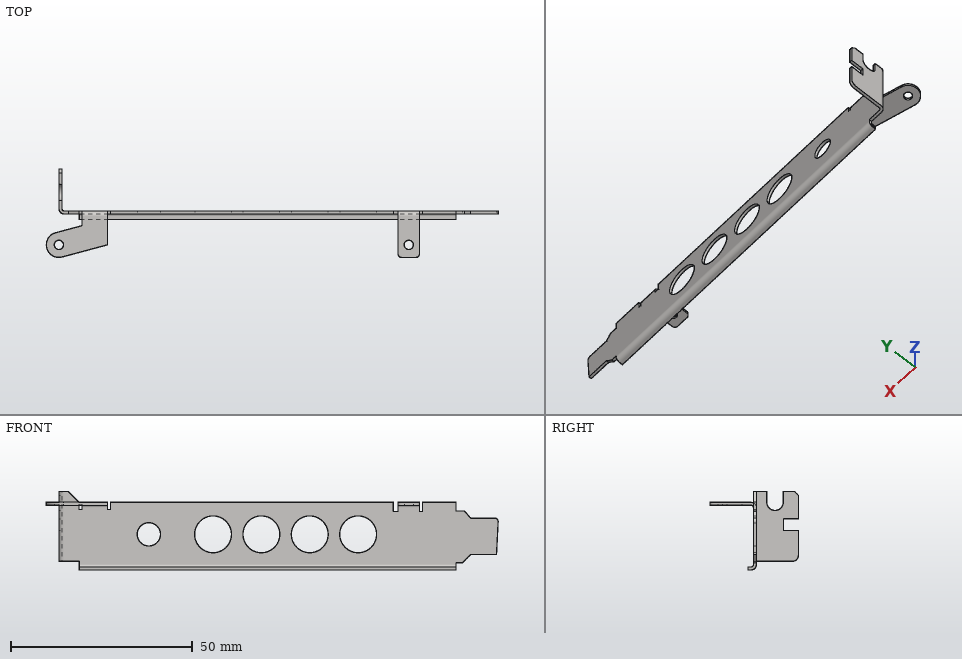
import cadquery as cq
import math


overall_length = 124.4

sheet = 0.9
inner_radius = 0.6
outer_radius = inner_radius + sheet

plate_top = 18.7
plate_bottom_left = 2.4
plate_bottom_right = 2.0
shoulder_x = 109.3
shoulder_z = 16.3
taper_start = 111.6
tail_start = 113.3
tail_top = 14.3
tail_bottom = 4.2
tip_slant = 0.5
tip_radius = 1.0

ear_top = 21.6
ear_flat_end = 2.6
ear_foot = ear_flat_end + ear_top - plate_top

hole_z = 9.8
small_hole_x = 24.8
small_hole_diameter = 6.3
large_hole_x = 42.4
large_hole_diameter = 10.1
large_hole_pitch = 13.3
large_hole_count = 4

flange_depth = 12.5
flange_chamfer = 1.1
flange_corner_radius = 1.7
screw_slot_width = 4.5
screw_slot_y = 6.0
screw_slot_depth = 5.2
side_notch_depth = 4.1
side_notch_bottom = 11.0
side_notch_top = 14.0

lip_start = ear_foot
lip_reach = 1.5

tab_reach = 12.0
tab_hole_diameter = 2.5
lug_radius = 3.5
lug_hole_x = 0.0
tab_hole_y = lug_radius - tab_reach
lug_neck = 1.2
lug_angle = math.radians(15)
lug_tab_start = 6.3
lug_tab_end = 13.4
lug_gap_start = ear_foot
lug_gap_end = 14.2
lug_relief_depth = 2.0
straight_tab_start = 93.3
straight_tab_end = 99.3
straight_tab_radius = 1.0
straight_gap_start = 92.0
straight_gap_end = 100.0
straight_relief_depth = 2.5

tip_slant_angle = math.atan2(tip_slant, tail_top - tail_bottom)
tip_overshoot = tip_radius * (math.tan(math.pi / 4 + tip_slant_angle / 2) - 1)
tip_x = lug_hole_x - lug_radius + overall_length + tip_overshoot


def box(x_range, y_range, z_range):
    """Box between the given limits along each axis."""
    (x0, x1), (y0, y1), (z0, z1) = x_range, y_range, z_range
    return cq.Workplane("XY").box(x1 - x0, y1 - y0, z1 - z0, centered=False).translate((x0, y0, z0))


def bent_strip(plane, corner, first_leg, second_leg):
    """L-shaped sheet section; the signed legs run from its outer corner along the plane axes."""
    u_sign = math.copysign(1, first_leg)
    v_sign = math.copysign(1, second_leg)

    def at(u, v):
        return (corner[0] + u_sign * u, corner[1] + v_sign * v)

    bend = outer_radius
    outer_mid = bend - outer_radius * math.sqrt(0.5)
    inner_mid = bend - inner_radius * math.sqrt(0.5)
    return (
        cq.Workplane(plane)
        .moveTo(*at(abs(first_leg), 0))
        .lineTo(*at(bend, 0))
        .threePointArc(at(outer_mid, outer_mid), at(0, bend))
        .lineTo(*at(0, abs(second_leg)))
        .lineTo(*at(sheet, abs(second_leg)))
        .lineTo(*at(sheet, bend))
        .threePointArc(at(inner_mid, inner_mid), at(bend, sheet))
        .lineTo(*at(abs(first_leg), sheet))
        .close()
    )


def make_plate():
    """Flat face plate with the tapered tail, starting where the flange bend ends."""
    taper_bottom = tail_start - (tail_bottom - plate_bottom_right)
    plate = (
        cq.Workplane("XZ")
        .polyline([
            (outer_radius, plate_bottom_left),
            (outer_radius, ear_top),
            (ear_flat_end, ear_top),
            (ear_foot, plate_top),
            (shoulder_x, plate_top),
            (shoulder_x, shoulder_z),
            (taper_start, shoulder_z),
            (tail_start, tail_top),
            (tip_x, tail_top),
            (tip_x - tip_slant, tail_bottom),
            (tail_start, tail_bottom),
            (taper_bottom, plate_bottom_right),
            (shoulder_x, plate_bottom_right),
            (shoulder_x, outer_radius),
            (lip_start, outer_radius),
            (lip_start, plate_bottom_left),
        ])
        .close()
        .extrude(-sheet)
    )
    tip_corner = cq.selectors.NearestToPointSelector((tip_x, sheet / 2, tail_top))
    return plate.edges("|Y").edges(tip_corner).fillet(tip_radius)


def make_plate_holes():
    """Cutter for the small hole and the row of large holes."""
    large_holes = [(large_hole_x + i * large_hole_pitch, hole_z) for i in range(large_hole_count)]
    cutter = cq.Workplane("XZ").pushPoints(large_holes).circle(large_hole_diameter / 2).extrude(-sheet)
    small_hole = cq.Workplane("XZ").center(small_hole_x, hole_z).circle(small_hole_diameter / 2)
    return cutter.union(small_hole.extrude(-sheet))


def make_flange():
    """End flange with its bend, an open screw slot on top and a notch in the back edge."""
    flange = (
        bent_strip("XY", (0, 0), ear_flat_end, flange_depth)
        .extrude(ear_top - plate_bottom_left)
        .translate((0, 0, plate_bottom_left))
    )
    upper_corner = cq.selectors.NearestToPointSelector((sheet / 2, flange_depth, ear_top))
    lower_corner = cq.selectors.NearestToPointSelector((sheet / 2, flange_depth, plate_bottom_left))
    flange = flange.edges("|X").edges(upper_corner).chamfer(flange_chamfer)
    flange = flange.edges("|X").edges(lower_corner).fillet(flange_corner_radius)

    slot_radius = screw_slot_width / 2
    slot_centre_z = ear_top - screw_slot_depth + slot_radius
    slot_y = (screw_slot_y - slot_radius, screw_slot_y + slot_radius)
    slot = box((0, sheet), slot_y, (slot_centre_z, ear_top))
    slot_end = cq.Workplane("YZ").center(screw_slot_y, slot_centre_z).circle(slot_radius).extrude(sheet)
    notch_y = (flange_depth - side_notch_depth, flange_depth)
    notch = box((0, sheet), notch_y, (side_notch_bottom, side_notch_top))
    return flange.cut(slot).cut(slot_end).cut(notch)


def make_lip():
    """Stiffening lip with its bend along the bottom of the plate."""
    lip = bent_strip("YZ", (sheet, 0), -(sheet + lip_reach), plate_bottom_right)
    return lip.extrude(shoulder_x - lip_start).translate((lip_start, 0, 0))


def make_tab_gap(start, end, depth):
    """Opening in the top edge of the plate, leaving bend reliefs beside a tab."""
    return box((start, end), (0, sheet), (plate_top - depth, plate_top))


def make_tab_strip(start, end, reach, relief_depth):
    """Rectangular strip folded forwards from the top of the plate."""
    strip = bent_strip("YZ", (sheet, plate_top), -(sheet + reach), -relief_depth)
    return strip.extrude(end - start).translate((start, 0, 0))


def make_tab_hole(x):
    """Cutter for a mounting hole through a tab."""
    hole = cq.Workplane("XY").center(x, tab_hole_y).circle(tab_hole_diameter / 2).extrude(sheet)
    return hole.translate((0, 0, plate_top - sheet))


def make_straight_tab():
    """Straight tab with rounded front corners and a central mounting hole."""
    tab = make_tab_strip(straight_tab_start, straight_tab_end, tab_reach, straight_relief_depth)
    tab = tab.edges("|Z").edges("<Y").fillet(straight_tab_radius)
    return tab.cut(make_tab_hole((straight_tab_start + straight_tab_end) / 2))


def make_lug_tab():
    """Tab whose angled arm ends in a round lug, with arm sides tangent to the lug."""
    side_offset = lug_radius / math.cos(lug_angle)
    slope = math.tan(lug_angle)
    tangent_x = lug_radius * math.sin(lug_angle)
    tangent_y = lug_radius * math.cos(lug_angle)
    upper_y = tab_hole_y + side_offset + slope * (lug_tab_start - lug_hole_x)
    lower_y = tab_hole_y - side_offset + slope * (lug_tab_end - lug_hole_x)
    bend_end = -inner_radius

    arm = (
        cq.Workplane("XY")
        .moveTo(lug_tab_start, bend_end)
        .lineTo(lug_tab_start, upper_y)
        .lineTo(lug_hole_x - tangent_x, tab_hole_y + tangent_y)
        .threePointArc(
            (lug_hole_x - lug_radius, tab_hole_y),
            (lug_hole_x + tangent_x, tab_hole_y - tangent_y),
        )
        .lineTo(lug_tab_end, lower_y)
        .lineTo(lug_tab_end, bend_end)
        .close()
        .extrude(sheet)
        .translate((0, 0, plate_top - sheet))
    )
    neck = make_tab_strip(lug_tab_start, lug_tab_end, lug_neck, lug_relief_depth)
    return arm.union(neck).cut(make_tab_hole(lug_hole_x))


result = (
    make_plate()
    .cut(make_plate_holes())
    .cut(make_tab_gap(lug_gap_start, lug_gap_end, lug_relief_depth))
    .cut(make_tab_gap(straight_gap_start, straight_gap_end, straight_relief_depth))
    .union(make_flange())
    .union(make_lip())
    .union(make_lug_tab())
    .union(make_straight_tab())
)